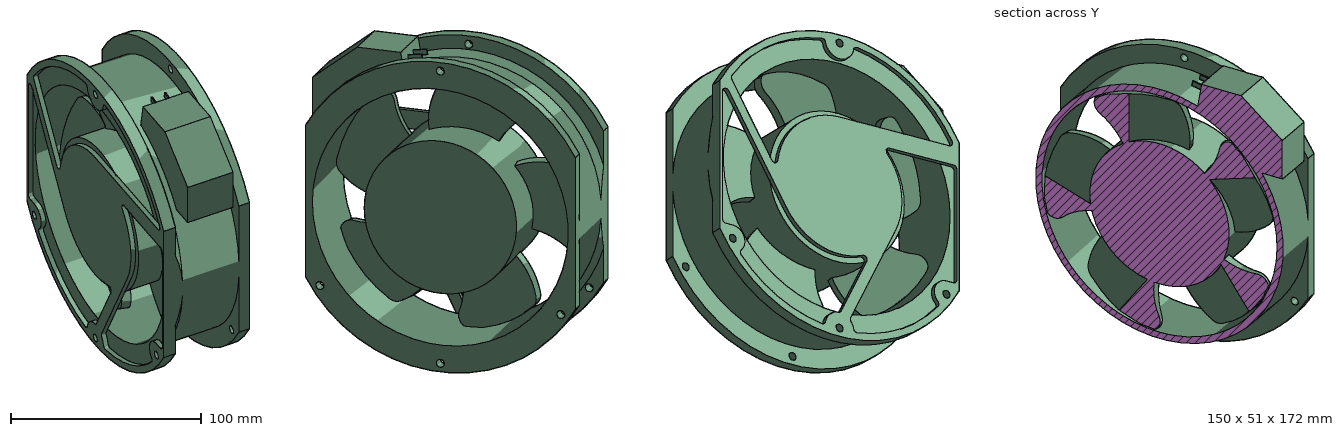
import cadquery as cq
import math

frame_radius = 86.0
frame_width = 150.0
frame_depth = 51.0
front_face = -frame_depth / 2
back_face = frame_depth / 2

bore_radius = 71.0
barrel_radius = 75.2
flare_radius = 78.5
front_flange_thickness = 7.0
back_flange_thickness = 6.4
flare_length = 4.1
front_flange_back = front_face + front_flange_thickness
back_flange_front = back_face - back_flange_thickness

hole_circle_radius = 81.2
hole_diameter = 4.3
vertical_hole_angles = (90, 270)
corner_hole_angles = (214.5, 325.5)

recess_depth = 2.8
recess_radius = 82.0
recess_half_width = 73.5
recess_corner_radius = 2.0
vertical_boss_radius = 9.0
corner_boss_radius = 7.5

cap_radius = 39.0
motor_radius = 42.3
arms = ((0, 10.3), (122, 5.3), (243.5, 6.4))

blade_count = 5
blade_tilt = 10
blade_thickness = 5.2
blade_front = -3.3
blade_sweep_radius = 70.5

box_front = -11.0
box_back = 16.0
box_outline = (
    (22.9, 42.1),
    (22.9, 70.7),
    (25.5, 85.3),
    (49.5, 85.3),
    (74.5, 65.5),
    (74.5, 42.1),
)
pin_slope = 10
pin_length = 10.3
pin_height = 3.0
pin_thickness = 0.7
pin_tip_x = 16.9
pin_tip_z = 80.8
pin_positions = (-1.2, 6.7)


def front_plane(y):
    """Plane facing -Y, with local x along +X and local y along +Z."""
    return cq.Workplane(cq.Plane(origin=(0, y, 0), xDir=(1, 0, 0), normal=(0, -1, 0)))


def cylinder(radius, y_front, y_back, x=0, z=0):
    return front_plane(y_back).center(x, z).circle(radius).extrude(y_back - y_front)


def on_circle(radius, angle):
    return radius * math.cos(math.radians(angle)), radius * math.sin(math.radians(angle))


def make_housing():
    profile = [
        (bore_radius, front_face),
        (frame_radius, front_face),
        (frame_radius, front_flange_back),
        (flare_radius, front_flange_back),
        (barrel_radius, front_flange_back + flare_length),
        (barrel_radius, back_flange_front),
        (frame_radius, back_flange_front),
        (frame_radius, back_face),
        (bore_radius, back_face),
    ]
    ring = cq.Workplane("XY").polyline(profile).close().revolve(360, (0, 0), (0, 1))
    side_trim = cq.Workplane("XY").box(frame_width, frame_depth, 2 * frame_radius)
    return ring.intersect(side_trim)


def arm_bar(angle, width):
    """Bar from the cap out past the rim, its outer edge tangent to the cap."""
    bar = (
        front_plane(front_face + recess_depth)
        .center(frame_radius / 2, cap_radius - width / 2)
        .rect(frame_radius, width)
        .extrude(recess_depth)
    )
    return bar.rotate((0, 0, 0), (0, -1, 0), angle)


def make_recess():
    """Solid to remove from the front face."""
    floor = front_face + recess_depth
    recess = cylinder(recess_radius, front_face, floor)
    recess = recess.intersect(cq.Workplane("XY").box(2 * recess_half_width, frame_depth, 2 * frame_radius))
    recess = recess.cut(cylinder(cap_radius, front_face, floor))
    for angle, width in arms:
        recess = recess.cut(arm_bar(angle, width))
    for angle in vertical_hole_angles:
        x, z = on_circle(hole_circle_radius, angle)
        recess = recess.cut(cylinder(vertical_boss_radius, front_face, floor, x, z))
    for angle in corner_hole_angles:
        x, z = on_circle(hole_circle_radius, angle)
        recess = recess.cut(cylinder(corner_boss_radius, front_face, floor, x, z))
        web = (
            front_plane(floor)
            .center(x + math.copysign(corner_boss_radius, x), z)
            .rect(2 * corner_boss_radius, 2 * corner_boss_radius)
            .extrude(recess_depth)
        )
        recess = recess.cut(web)
    return recess.edges("|Y").fillet(recess_corner_radius)


def make_blade():
    plate = (
        cq.Workplane("XZ")
        .moveTo(-18.0, 31.0)
        .lineTo(-22.7, 36.3)
        .threePointArc((-28.4, 43.9), (-36.3, 50.0))
        .threePointArc((-39.5, 54.7), (-38.5, 59.7))
        .threePointArc((-17.5, 67.2), (4.3, 67.8))
        .threePointArc((8.3, 66.5), (10.8, 63.6))
        .threePointArc((14.1, 55.0), (14.8, 39.5))
        .lineTo(14.8, 31.0)
        .close()
        .extrude(-blade_thickness)
    )
    return plate.rotate((0, 0, 0), (0, 0, 1), blade_tilt).translate((0, blade_front, 0))


def make_impeller():
    blade = make_blade().intersect(cylinder(blade_sweep_radius, front_face, back_face))
    impeller = cylinder(motor_radius, front_face + recess_depth, back_face)
    for i in range(blade_count):
        impeller = impeller.union(blade.rotate((0, 0, 0), (0, 1, 0), i * 360 / blade_count))
    return impeller


def make_terminal_box():
    box = front_plane(box_back).polyline(box_outline).close().extrude(box_back - box_front)
    box = box.cut(cylinder((bore_radius + barrel_radius) / 2, box_front, box_back))
    pin = cq.Workplane("XY").box(pin_length, pin_thickness, pin_height).translate((pin_length / 2, 0, 0))
    pin = pin.rotate((0, 0, 0), (0, 1, 0), pin_slope)
    for y in pin_positions:
        box = box.union(pin.translate((pin_tip_x, y, pin_tip_z)))
    return box


front_disc = cylinder((bore_radius + barrel_radius) / 2, front_face, front_face + recess_depth)
result = make_housing().union(front_disc).cut(make_recess())
result = result.union(make_impeller()).union(make_terminal_box())
for hole_angle in vertical_hole_angles + corner_hole_angles:
    hole_x, hole_z = on_circle(hole_circle_radius, hole_angle)
    result = result.cut(cylinder(hole_diameter / 2, front_face, back_face, hole_x, hole_z))